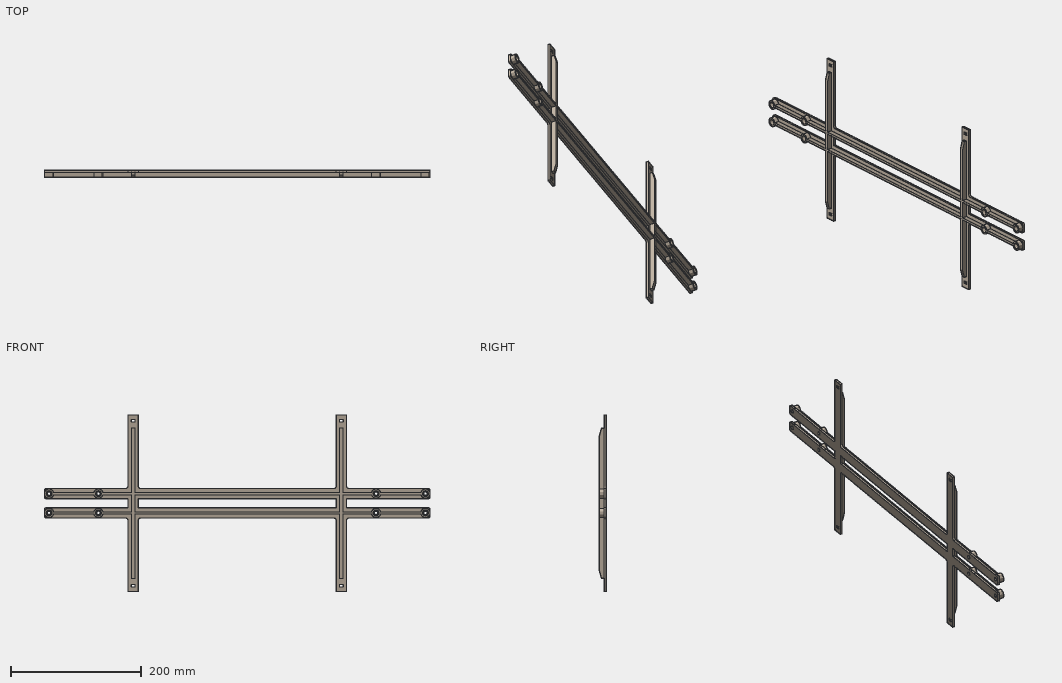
import cadquery as cq

LENGTH = 590.0
HEIGHT = 270.0
DEPTH = 11.0

STRIP_WIDTH = 16.0
STRIP_THICKNESS = 3.5
LONG_STRIP_Z = 15.0
CROSS_STRIP_X = 159.5
INNER_CORNER_RADIUS = 3.5
END_CORNER_RADIUS = 3.0

CROSS_RIB_THICKNESS = 5.5
LONG_RIB_THICKNESS = 3.5
CROSS_RIB_HALF_LENGTH = 115.0
CROSS_RIB_CREST_HALF_LENGTH = 102.0
CROSS_RIB_END_STEP = 4.0

BOSS_DIAMETER = 14.0
BOSS_BORE = 5.5
BOSS_COUNTERBORE = 9.0
END_BOSS_X = LENGTH / 2 - BOSS_DIAMETER / 2
MIDDLE_BOSS_X = 212.5

SLOT_WIDTH = 5.5
SLOT_HEIGHT = 3.5
SLOT_Z = 126.0

BACK_Y = DEPTH / 2
STRIP_FRONT_Y = BACK_Y - STRIP_THICKNESS
CREST_Y = -DEPTH / 2

LONG_STRIP_CENTERS = [(0, side * LONG_STRIP_Z) for side in (-1, 1)]
CROSS_STRIP_CENTERS = [(side * CROSS_STRIP_X, 0) for side in (-1, 1)]
BOSS_CENTERS = [
    (side * x, z)
    for side in (-1, 1)
    for x in (MIDDLE_BOSS_X, END_BOSS_X)
    for _, z in LONG_STRIP_CENTERS
]


def back_plane():
    """Sketch plane on the flat back; extrusions run toward the front."""
    return cq.Workplane("XZ", origin=(0, BACK_Y, 0))


def make_strips():
    long_strips = (
        back_plane()
        .pushPoints(LONG_STRIP_CENTERS)
        .rect(LENGTH, STRIP_WIDTH)
        .extrude(STRIP_THICKNESS)
        .edges("|Y")
        .fillet(END_CORNER_RADIUS)
    )
    cross_strips = (
        back_plane()
        .pushPoints(CROSS_STRIP_CENTERS)
        .rect(STRIP_WIDTH, HEIGHT)
        .extrude(STRIP_THICKNESS)
    )
    strips = long_strips.union(cross_strips)
    reach_x = CROSS_STRIP_X + STRIP_WIDTH
    low_z = LONG_STRIP_Z + STRIP_WIDTH / 4
    high_z = LONG_STRIP_Z + STRIP_WIDTH
    for sign in (-1, 1):
        near, far = sorted((sign * low_z, sign * high_z))
        corners = cq.selectors.BoxSelector((-reach_x, -DEPTH, near), (reach_x, DEPTH, far))
        strips = strips.edges("|Y").edges(corners).fillet(INNER_CORNER_RADIUS)
    return strips


def make_long_ribs():
    return (
        back_plane()
        .pushPoints(LONG_STRIP_CENTERS)
        .rect(2 * END_BOSS_X, LONG_RIB_THICKNESS)
        .extrude(DEPTH)
    )


def make_cross_rib(x):
    """Rib with both ends cut back to a slope toward the crest."""
    step_y = STRIP_FRONT_Y - CROSS_RIB_END_STEP
    return (
        cq.Workplane("YZ", origin=(x, 0, 0))
        .moveTo(BACK_Y, -CROSS_RIB_HALF_LENGTH)
        .lineTo(step_y, -CROSS_RIB_HALF_LENGTH)
        .lineTo(CREST_Y, -CROSS_RIB_CREST_HALF_LENGTH)
        .lineTo(CREST_Y, CROSS_RIB_CREST_HALF_LENGTH)
        .lineTo(step_y, CROSS_RIB_HALF_LENGTH)
        .lineTo(BACK_Y, CROSS_RIB_HALF_LENGTH)
        .close()
        .extrude(CROSS_RIB_THICKNESS / 2, both=True)
    )


def make_bosses():
    return back_plane().pushPoints(BOSS_CENTERS).circle(BOSS_DIAMETER / 2).extrude(DEPTH)


def make_bores():
    through_bores = back_plane().pushPoints(BOSS_CENTERS).circle(BOSS_BORE / 2).extrude(DEPTH)
    counterbores = (
        cq.Workplane("XZ", origin=(0, STRIP_FRONT_Y, 0))
        .pushPoints(BOSS_CENTERS)
        .circle(BOSS_COUNTERBORE / 2)
        .extrude(DEPTH)
    )
    return through_bores.union(counterbores)


def make_slots():
    slot_centers = [(x, side * SLOT_Z) for x, _ in CROSS_STRIP_CENTERS for side in (-1, 1)]
    return back_plane().pushPoints(slot_centers).rect(SLOT_WIDTH, SLOT_HEIGHT).extrude(STRIP_THICKNESS)


frame = make_strips().union(make_long_ribs()).union(make_bosses())
for rib_x, _ in CROSS_STRIP_CENTERS:
    frame = frame.union(make_cross_rib(rib_x))

result = frame.cut(make_bores()).cut(make_slots())